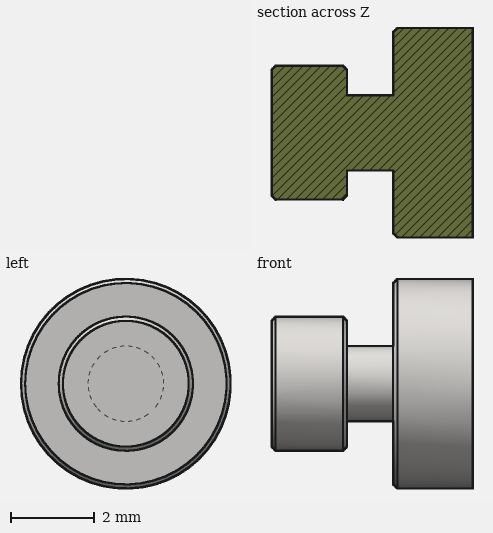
import cadquery as cq

head_diameter = 3.2
head_length = 1.8
neck_diameter = 1.8
neck_length = 1.1
flange_diameter = 5
flange_length = 1.9
edge_chamfer = 0.1


def disc(start_x, diameter, length):
    """Cylinder about the X axis, extending in +X from start_x."""
    return cq.Workplane("YZ", origin=(start_x, 0, 0)).circle(diameter / 2).extrude(length)


neck_start = head_length
flange_start = neck_start + neck_length

head = disc(0, head_diameter, head_length).edges().chamfer(edge_chamfer)
neck = disc(neck_start, neck_diameter, neck_length)
flange = disc(flange_start, flange_diameter, flange_length).faces("<X").edges().chamfer(edge_chamfer)

result = head.union(neck).union(flange)